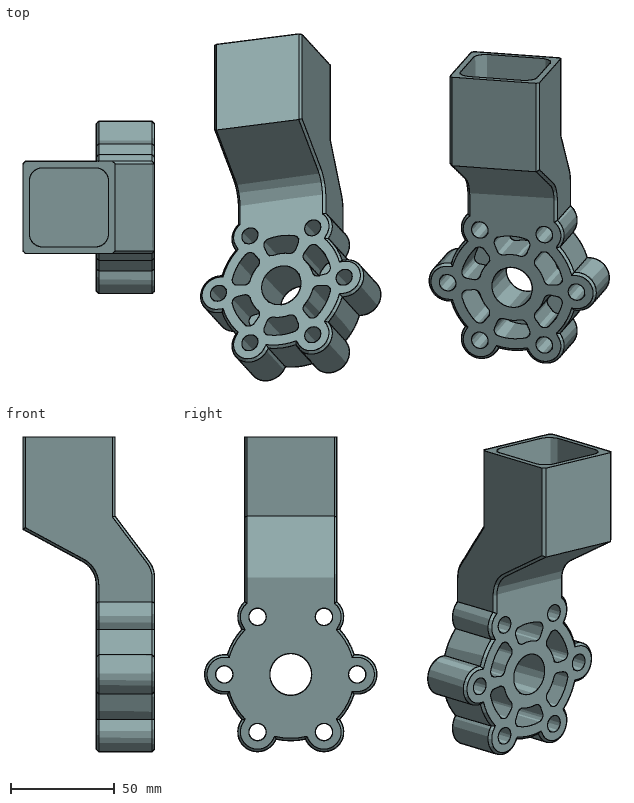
import cadquery as cq
import math

HUB_RADIUS = 32.0
PLATE_THICKNESS = 28.2
LOBE_COUNT = 6
BOLT_CIRCLE_RADIUS = 32.0
LOBE_RADIUS = 9.525
BOLT_HOLE_DIAMETER = 8.2
BORE_DIAMETER = 20.0

POCKET_INNER_RADIUS = 16.5
POCKET_OUTER_RADIUS = 25.75
POCKET_HALF_ANGLE = 22.5
POCKET_CORNER_RADIUS = 3.0
PLATE_FLOOR = 3.175
POCKET_DEPTH = PLATE_THICKNESS - PLATE_FLOOR

OVERALL_X = 63.5
SOCKET_WIDTH = 44.45
SOCKET_TOP_Z = 114.3
SOCKET_CAVITY = 38.1
CAVITY_DEPTH = 38.1
CAVITY_CORNER_RADIUS = 6.35
SOCKET_FRONT_HEIGHT = 44.45
SOCKET_BACK_HEIGHT = 38.1
ARM_BEND_Z = 50.8
ARM_BEND_RADIUS = 12.7

EDGE_CHAMFER = 1.27

SELECTION_MARGIN = 1.0

PLATE_BACK_X = PLATE_THICKNESS
SOCKET_FRONT_X = PLATE_BACK_X - OVERALL_X
SOCKET_BACK_X = SOCKET_FRONT_X + SOCKET_WIDTH
SOCKET_CENTRE_X = SOCKET_FRONT_X + SOCKET_WIDTH / 2

ARM_END_Z = BOLT_CIRCLE_RADIUS * math.sin(math.radians(360 / LOBE_COUNT))


def make_hub_plate():
    """Disc crossed by three radial bars whose round ends are the bolt lobes."""
    plate = cq.Workplane("YZ").circle(HUB_RADIUS).extrude(PLATE_THICKNESS)
    plate = plate.faces("|X").edges().chamfer(EDGE_CHAMFER)
    bar_length = 2 * (BOLT_CIRCLE_RADIUS + LOBE_RADIUS)
    for index in range(LOBE_COUNT // 2):
        bar = (
            cq.Workplane("YZ")
            .slot2D(bar_length, 2 * LOBE_RADIUS, index * 360 / LOBE_COUNT)
            .extrude(PLATE_THICKNESS)
            .faces("|X")
            .edges()
            .chamfer(EDGE_CHAMFER)
        )
        plate = plate.union(bar)
    return plate


def make_socket_arm():
    """Cranked arm and solid socket block, extruded along Y from one side outline."""
    arm = (
        cq.Workplane("XZ")
        .moveTo(0, ARM_END_Z)
        .lineTo(0, ARM_BEND_Z)
        .lineTo(SOCKET_FRONT_X, SOCKET_TOP_Z - SOCKET_FRONT_HEIGHT)
        .lineTo(SOCKET_FRONT_X, SOCKET_TOP_Z)
        .lineTo(SOCKET_BACK_X, SOCKET_TOP_Z)
        .lineTo(SOCKET_BACK_X, SOCKET_TOP_Z - SOCKET_BACK_HEIGHT)
        .lineTo(PLATE_BACK_X, ARM_BEND_Z)
        .lineTo(PLATE_BACK_X, ARM_END_Z)
        .close()
        .extrude(SOCKET_WIDTH / 2, both=True)
    )
    bend_edges = cq.selectors.BoxSelector(
        (-SELECTION_MARGIN, -SOCKET_WIDTH, ARM_BEND_Z - SELECTION_MARGIN),
        (PLATE_BACK_X + SELECTION_MARGIN, SOCKET_WIDTH, ARM_BEND_Z + SELECTION_MARGIN),
    )
    arm = arm.edges("|Y").edges(bend_edges).fillet(ARM_BEND_RADIUS)
    return arm.faces("|Y").edges("not(|X)").chamfer(EDGE_CHAMFER)


def make_socket_cavity():
    """Square cavity with rounded corners, open at the top of the socket."""
    return (
        cq.Workplane("XY")
        .workplane(offset=SOCKET_TOP_Z - CAVITY_DEPTH)
        .center(SOCKET_CENTRE_X, 0)
        .rect(SOCKET_CAVITY, SOCKET_CAVITY)
        .extrude(CAVITY_DEPTH)
        .edges("|Z")
        .fillet(CAVITY_CORNER_RADIUS)
    )


def ring_point(radius, angle):
    """Point in the YZ plane at an angle in degrees from +Y."""
    return (radius * math.cos(math.radians(angle)), radius * math.sin(math.radians(angle)))


def make_pocket(angle):
    """Rounded ring sector centred on the given angle."""
    start = angle - POCKET_HALF_ANGLE
    end = angle + POCKET_HALF_ANGLE
    return (
        cq.Workplane("YZ")
        .moveTo(*ring_point(POCKET_INNER_RADIUS, start))
        .lineTo(*ring_point(POCKET_OUTER_RADIUS, start))
        .threePointArc(ring_point(POCKET_OUTER_RADIUS, angle), ring_point(POCKET_OUTER_RADIUS, end))
        .lineTo(*ring_point(POCKET_INNER_RADIUS, end))
        .threePointArc(ring_point(POCKET_INNER_RADIUS, angle), ring_point(POCKET_INNER_RADIUS, start))
        .close()
        .extrude(POCKET_DEPTH)
        .edges("|X")
        .fillet(POCKET_CORNER_RADIUS)
    )


def make_through_holes():
    """Central bore and one bolt hole in each lobe."""
    holes = cq.Workplane("YZ").circle(BORE_DIAMETER / 2).extrude(PLATE_THICKNESS)
    bolt_holes = (
        cq.Workplane("YZ")
        .polarArray(BOLT_CIRCLE_RADIUS, 0, 360, LOBE_COUNT)
        .circle(BOLT_HOLE_DIAMETER / 2)
        .extrude(PLATE_THICKNESS)
    )
    return holes.union(bolt_holes)


result = make_hub_plate().union(make_socket_arm())
result = result.cut(make_socket_cavity())
result = result.cut(make_through_holes())
for pocket_index in range(LOBE_COUNT):
    pocket_angle = (pocket_index + 0.5) * 360 / LOBE_COUNT
    result = result.cut(make_pocket(pocket_angle))